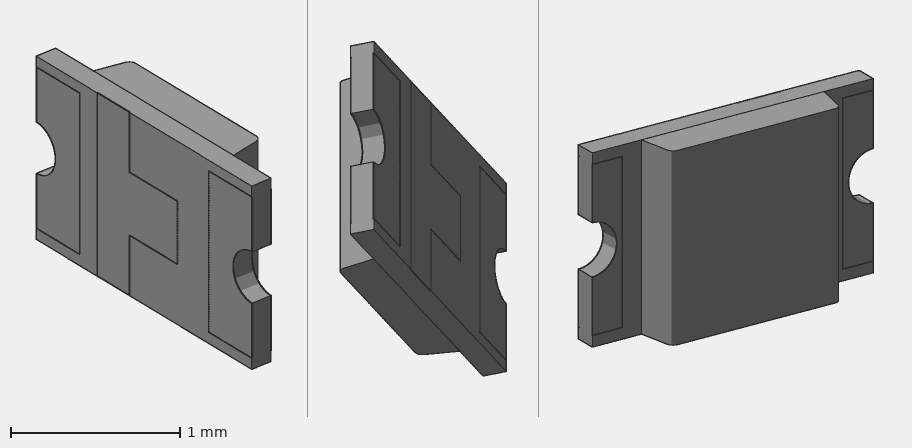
import cadquery as cq

length = 2.0
depth = 0.4
width = 1.25
half_length = length / 2

board_thickness = 0.15
board_front_y = -depth / 2
board_back_y = board_front_y + board_thickness
notch_diameter = 0.35

lens_base_length = 1.3
lens_top_length = 1.2
lens_edge_radius = 0.05

film_thickness = 0.005
pad_width = 1.1
front_pad_length = 0.4
back_pad_length = 0.215
back_pad_proud = 0.001

mark_bar_start_x = -0.435
mark_bar_length = 0.3
mark_stem_length = 0.445
mark_stem_width = 0.43


def box_between(x_start, x_end, y_start, y_end, z_width):
    """Box between two X and two Y positions, centred on Z = 0."""
    size_x = x_end - x_start
    size_y = y_end - y_start
    centre = ((x_start + x_end) / 2, (y_start + y_end) / 2, 0)
    return cq.Workplane("XY").box(size_x, size_y, z_width).translate(centre)


def make_notch_cutters():
    """Cylinders along Y that form the half-round notch at each end."""
    return (
        cq.Workplane("XZ")
        .pushPoints([(-half_length, 0), (half_length, 0)])
        .circle(notch_diameter / 2)
        .extrude(depth, both=True)
    )


def make_pad(side, pad_length, y_start):
    """Notched pad film at the -X end (side -1) or the +X end (side +1)."""
    inner_x = half_length - pad_length
    x_start, x_end = sorted((side * inner_x, side * half_length))
    film = box_between(x_start, x_end, y_start, y_start + film_thickness, pad_width)
    return film.cut(make_notch_cutters())


def make_polarity_mark():
    """Full-width bar with a stem pointing toward +X."""
    bar_end_x = mark_bar_start_x + mark_bar_length
    stem_end_x = bar_end_x + mark_stem_length
    film_back_y = board_front_y + film_thickness
    bar = box_between(mark_bar_start_x, bar_end_x, board_front_y, film_back_y, width)
    stem = box_between(bar_end_x, stem_end_x, board_front_y, film_back_y, mark_stem_width)
    return bar.union(stem)


def make_board(inset_films):
    """Board with end notches and a shallow recess for each inset film."""
    board = box_between(-half_length, half_length, board_front_y, board_back_y, width)
    board = board.cut(make_notch_cutters())
    for film in inset_films:
        board = board.cut(film)
    return board


def make_lens():
    """Trapezoidal bar along Z, rounded along its two outer edges."""
    half_base = lens_base_length / 2
    half_top = lens_top_length / 2
    profile = [
        (-half_base, board_back_y),
        (half_base, board_back_y),
        (half_top, depth / 2),
        (-half_top, depth / 2),
    ]
    bar = cq.Workplane("XY").polyline(profile).close().extrude(width / 2, both=True)
    return bar.faces(">Y").edges("|Z").fillet(lens_edge_radius)


ends = (-1, 1)
front_pads = [make_pad(side, front_pad_length, board_front_y) for side in ends]
back_pad_start_y = board_back_y + back_pad_proud - film_thickness
back_pads = [make_pad(side, back_pad_length, back_pad_start_y) for side in ends]
polarity_mark = make_polarity_mark()
board = make_board([*front_pads, *back_pads, polarity_mark])
lens = make_lens()

bodies = [board, lens, polarity_mark, *front_pads, *back_pads]
result = cq.Compound.makeCompound([body.val() for body in bodies])